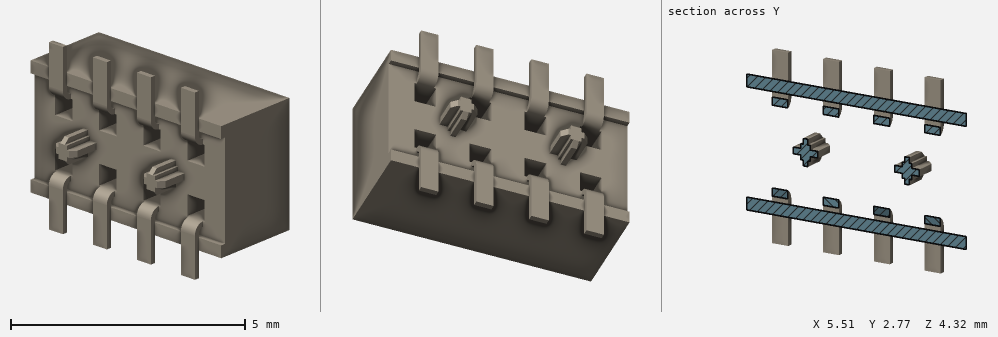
import cadquery as cq

housing_length = 5.51
housing_height = 3.045
total_depth = 2.77
tail_span = 4.32

body_depth = 2.035
rib_height = 0.3
rib_depth = 0.125
socket_size = 0.5

columns = 4
pitch = 1.275
column_places = [(i - (columns - 1) / 2) * pitch for i in range(columns)]
row_offset = pitch / 2

tail_width = 0.4
tail_thickness = 0.125
bend_outer_radius = rib_depth + tail_thickness
bend_inner_radius = bend_outer_radius - tail_thickness
anchor_length = 0.235
tail_root = row_offset + socket_size / 2

post_length = total_depth - body_depth
post_span = 0.62
post_tip_chamfer = 0.125
post_tip_span = post_span - 2 * post_tip_chamfer
flat_arm_thickness = 0.16
upright_arm_thickness = 0.125
core_width = 0.25
core_height = post_tip_span


def box(x_size, y_start, y_end, z_size, x=0, z=0):
    """Box centred on (x, z) that runs from y_start to y_end."""
    size_y = y_end - y_start
    return cq.Workplane("XY").box(x_size, size_y, z_size).translate((x, y_start + size_y / 2, z))


def make_upper_tail(x):
    """J-shaped tail with its anchor flush with the outer wall of an upper socket."""
    tip = tail_span / 2
    bend_end = tail_root + bend_outer_radius
    return (
        cq.Workplane("YZ")
        .moveTo(anchor_length, tail_root)
        .lineTo(0, tail_root)
        .radiusArc((-bend_outer_radius, bend_end), bend_outer_radius)
        .lineTo(-bend_outer_radius, tip)
        .lineTo(-rib_depth, tip)
        .lineTo(-rib_depth, bend_end)
        .radiusArc((0, tail_root + tail_thickness), -bend_inner_radius)
        .lineTo(anchor_length, tail_root + tail_thickness)
        .close()
        .extrude(tail_width / 2, both=True)
        .translate((x, 0, 0))
    )


def make_lower_contact(x):
    """Separate contact of the lower row, the mirror image of an upper tail."""
    return make_upper_tail(x).mirror("XY")


def make_post(x):
    """Cross-shaped locating post with chamfered arms around a rectangular core."""
    half_span = post_span / 2
    half_tip = post_tip_span / 2
    shoulder = post_tip_chamfer - post_length
    arm_outline = [
        (-half_span, 0),
        (-half_span, shoulder),
        (-half_tip, -post_length),
        (half_tip, -post_length),
        (half_span, shoulder),
        (half_span, 0),
    ]
    flat_arm = cq.Workplane("XY").polyline(arm_outline).close()
    flat_arm = flat_arm.extrude(flat_arm_thickness / 2, both=True)
    upright_arm = cq.Workplane("YZ").polyline([(y, z) for z, y in arm_outline]).close()
    upright_arm = upright_arm.extrude(upright_arm_thickness / 2, both=True)
    core = box(core_width, -post_length, 0, core_height)
    return core.union(flat_arm).union(upright_arm).translate((x, 0, 0))


def make_housing(contacts):
    """Block with edge ribs, posts, sockets, upper tails and a recess for each lower contact."""
    housing = box(housing_length, 0, body_depth, housing_height)
    rib_z = (housing_height - rib_height) / 2
    for side in (1, -1):
        housing = housing.union(box(housing_length, -rib_depth, body_depth, rib_height, z=side * rib_z))
    for x in (-pitch, pitch):
        housing = housing.union(make_post(x))
    for x in column_places:
        for side in (1, -1):
            socket = box(socket_size, 0, body_depth, socket_size, x, side * row_offset)
            housing = housing.cut(socket)
        housing = housing.union(make_upper_tail(x))
    for contact in contacts:
        housing = housing.cut(contact)
    return housing


lower_contacts = [make_lower_contact(x) for x in column_places]
housing = make_housing(lower_contacts)

result = cq.Compound.makeCompound([housing.val(), *[contact.val() for contact in lower_contacts]])